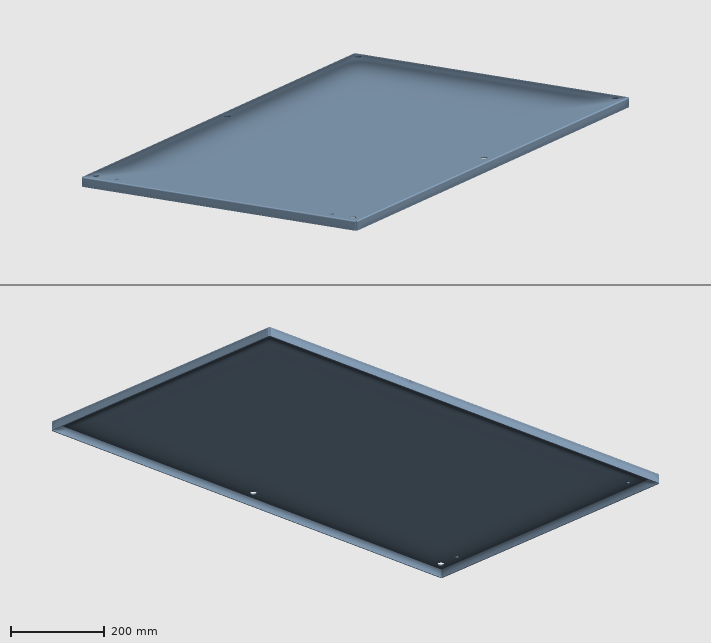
import cadquery as cq

width = 686.0
length = 1143.0
height = 22.0

sheet = 2.6
bend_radius = 2.9
corner_notch = bend_radius

mount_diameter = 15.0
mount_inset = 23.0
pilot_diameter = 7.9
pilot_inset = 74.0

mount_x = width / 2 - mount_inset
mount_y = length / 2 - mount_inset
pilot_x = width / 2 - pilot_inset


def folded_channel(span, depth):
    """Channel along Y: a flat web with two flanges folded down at the X ends."""
    outer = cq.Workplane("XY").box(span, depth, height, centered=(True, True, False))
    outer = outer.edges("|Y and >Z").fillet(bend_radius)
    inner = cq.Workplane("XY").box(
        span - 2 * sheet, depth, height - sheet, centered=(True, True, False)
    )
    inner = inner.edges("|Y and >Z").fillet(bend_radius - sheet)
    return outer.cut(inner)


def drill(body, points, diameter):
    """Drill straight through the web at each point."""
    cutter = cq.Workplane("XY").pushPoints(points).circle(diameter / 2).extrude(height)
    return body.cut(cutter)


def folded_panel():
    """Shallow pan open at the bottom, its flanges stopping short of each corner."""
    flat_width = width - 2 * corner_notch
    flat_length = length - 2 * corner_notch
    flat_zone = cq.Workplane("XY").rect(flat_width, flat_length).extrude(height)
    side_flanges = folded_channel(width, flat_length).cut(flat_zone)
    end_flanges = folded_channel(length, flat_width).rotate((0, 0, 0), (0, 0, 1), 90).cut(flat_zone)
    web = cq.Workplane("XY").workplane(offset=height - sheet)
    web = web.rect(flat_width, flat_length).extrude(sheet)
    return web.union(side_flanges).union(end_flanges)


mount_points = [(sx * mount_x, row * mount_y) for sx in (-1, 1) for row in (-1, 0, 1)]
pilot_points = [(sx * pilot_x, -mount_y) for sx in (-1, 1)]

result = folded_panel()
result = drill(result, mount_points, mount_diameter)
result = drill(result, pilot_points, pilot_diameter)